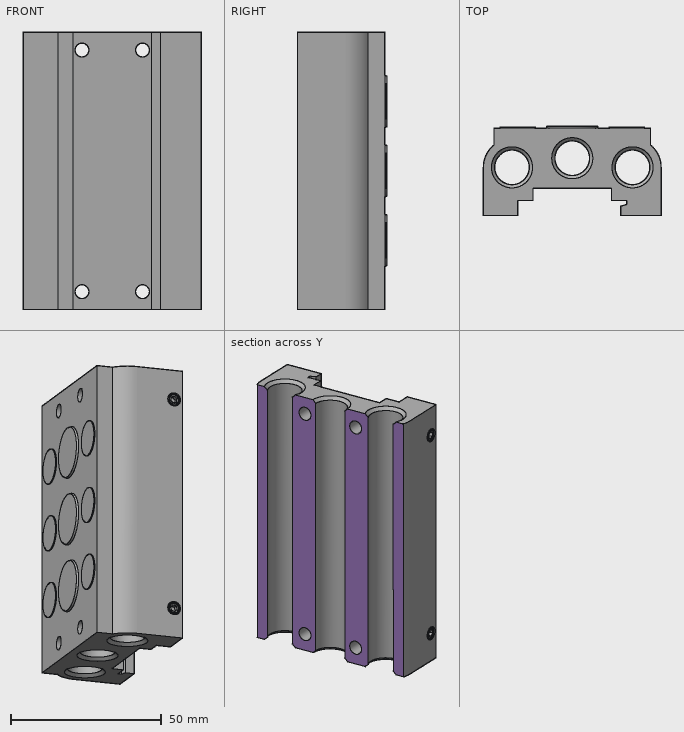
import cadquery as cq
import math

length = 92.0
width = 59.0
body_depth = 29.0
shoulder_width = 51.9

port_diameter = 11.4
port_mouth_diameter = 13.6
side_port_x = 20.0
side_port_y = 16.0
middle_port_y = 19.0

groove_half_width = 18.0
groove_depth = 5.0
channel_half_width = 13.0
channel_depth = 9.0
lip_x = 16.0
lip_tip_y = 3.1
lip_root_y = 3.8

mount_diameter = 4.5
mount_x = 10.0
mount_z = 40.0

screw_mouth_diameter = 4.5
screw_diameter = 4.0
screw_tip_diameter = 3.2
socket_corner_diameter = 2.4
socket_turn = 15.0
screw_sink = 0.2
socket_depth = 1.8
screw_y = 3.0
screw_z = 36.0

seat_pitch = 23.0
seat_rows = (-1, 0, 1)
middle_seat_diameter = 17.3
middle_seat_top_diameter = 16.8
middle_seat_height = 0.7
side_seat_diameter = 11.8
side_seat_height = 0.4
side_seat_x = 18.0

half_width = width / 2
half_shoulder = shoulder_width / 2


def make_body():
    """Extrude the section; its rounded corners are concentric with the side ports."""
    corner_radius = half_width - side_port_x
    corner_end_y = side_port_y + math.sqrt(corner_radius**2 - (half_shoulder - side_port_x) ** 2)
    half_angle = math.atan2(corner_end_y - side_port_y, half_shoulder - side_port_x) / 2
    arc_x = side_port_x + corner_radius * math.cos(half_angle)
    arc_y = side_port_y + corner_radius * math.sin(half_angle)
    return (
        cq.Workplane("XY", origin=(0, 0, -length / 2))
        .moveTo(-half_width, 0)
        .lineTo(-groove_half_width, 0)
        .lineTo(-groove_half_width, groove_depth)
        .lineTo(-channel_half_width, groove_depth)
        .lineTo(-channel_half_width, channel_depth)
        .lineTo(channel_half_width, channel_depth)
        .lineTo(channel_half_width, groove_depth)
        .lineTo(groove_half_width, groove_depth)
        .lineTo(groove_half_width, lip_root_y)
        .lineTo(lip_x, lip_tip_y)
        .lineTo(lip_x, 0)
        .lineTo(half_width, 0)
        .lineTo(half_width, side_port_y)
        .threePointArc((arc_x, arc_y), (half_shoulder, corner_end_y))
        .lineTo(half_shoulder, body_depth)
        .lineTo(-half_shoulder, body_depth)
        .lineTo(-half_shoulder, corner_end_y)
        .threePointArc((-arc_x, arc_y), (-half_width, side_port_y))
        .close()
        .extrude(length)
    )


def make_cylinder(diameter, height, start, direction):
    cylinder = cq.Solid.makeCylinder(diameter / 2, height, cq.Vector(*start), cq.Vector(*direction))
    return cq.Workplane(cylinder)


def make_cone(start_diameter, end_diameter, height, start, direction):
    start_radius = start_diameter / 2
    end_radius = end_diameter / 2
    cone = cq.Solid.makeCone(start_radius, end_radius, height, cq.Vector(*start), cq.Vector(*direction))
    return cq.Workplane(cone)


def make_port(x, y):
    """Through port with a 45 degree countersink at both ends."""
    mouth_depth = (port_mouth_diameter - port_diameter) / 2
    port = make_cylinder(port_diameter, length, (x, y, -length / 2), (0, 0, 1))
    for end in (-1, 1):
        start = (x, y, end * length / 2)
        port = port.union(make_cone(port_mouth_diameter, port_diameter, mouth_depth, start, (0, 0, -end)))
    return port


def make_mount_hole(x, z):
    """Hole through the block from front to rear."""
    return make_cylinder(mount_diameter, body_depth, (x, 0, z), (0, 1, 0))


def make_screw_recess(end):
    """Space left free around a set screw: countersunk mouth, chamfered screw end and hexagon socket."""
    z = end * screw_z
    start = (-half_width, screw_y, z)
    screw_end = (-half_width + screw_sink, screw_y, z)
    inward = (1, 0, 0)
    mouth_depth = (screw_mouth_diameter - screw_diameter) / 2
    chamfer_depth = (screw_diameter - screw_tip_diameter) / 2
    recess = make_cylinder(screw_diameter, screw_sink + chamfer_depth, start, inward)
    recess = recess.union(make_cone(screw_mouth_diameter, screw_diameter, mouth_depth, start, inward))
    recess = recess.cut(make_cone(screw_tip_diameter, screw_diameter, chamfer_depth, screw_end, inward))
    socket = (
        cq.Workplane("YZ", origin=screw_end)
        .transformed(rotate=(0, 0, -end * socket_turn))
        .polygon(6, socket_corner_diameter)
        .extrude(socket_depth)
    )
    return recess.union(socket)


def make_middle_seat(z):
    """Slightly tapered round seat on the centre line."""
    start = (0, body_depth, z)
    return make_cone(middle_seat_diameter, middle_seat_top_diameter, middle_seat_height, start, (0, 1, 0))


def make_side_seat(x, z):
    return make_cylinder(side_seat_diameter, side_seat_height, (x, body_depth, z), (0, 1, 0))


result = make_body()

for row in seat_rows:
    seat_z = row * seat_pitch
    result = result.union(make_middle_seat(seat_z))
    for side in (-1, 1):
        result = result.union(make_side_seat(side * side_seat_x, seat_z))

result = result.cut(make_port(0, middle_port_y))
for side in (-1, 1):
    result = result.cut(make_port(side * side_port_x, side_port_y))

for end in (-1, 1):
    result = result.cut(make_screw_recess(end))
    for side in (-1, 1):
        result = result.cut(make_mount_hole(side * mount_x, end * mount_z))